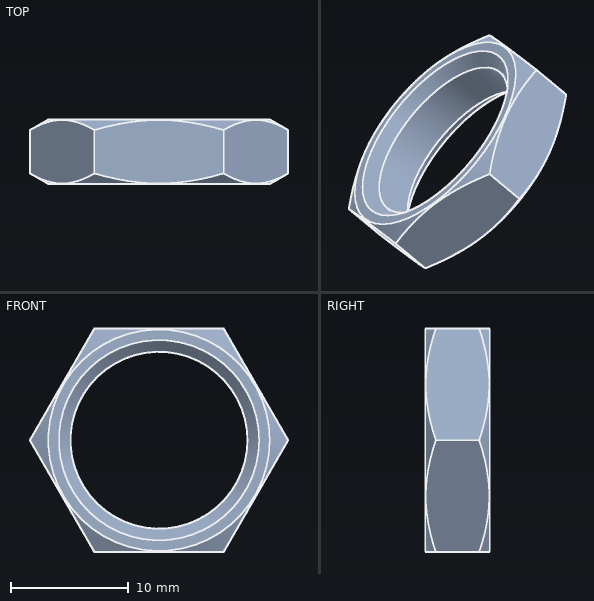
import cadquery as cq
import math

side_count = 6
across_flats = 19.0
thickness = 5.5
bore_diameter = 15.0
countersink_diameter = 17.0
countersink_angle = 45.0
face_diameter = 18.8
corner_angle = 30.0

across_corners = across_flats / math.cos(math.pi / side_count)
half_thickness = thickness / 2
corner_clearance = 1.0


def hexagon_body():
    return (
        cq.Workplane("XZ")
        .polygon(side_count, across_corners)
        .extrude(half_thickness, both=True)
    )


def revolve_about_y(profile):
    return cq.Workplane("XY").polyline(profile).close().revolve(360, (0, 0, 0), (0, 1, 0))


def corner_envelope():
    """Double cone-ended disc that trims the hexagon corners at both ends."""
    face_radius = face_diameter / 2
    rim_radius = across_corners / 2 + corner_clearance
    rim_drop = (rim_radius - face_radius) * math.tan(math.radians(corner_angle))
    rim_y = half_thickness - rim_drop
    return revolve_about_y([
        (0, -half_thickness),
        (face_radius, -half_thickness),
        (rim_radius, -rim_y),
        (rim_radius, rim_y),
        (face_radius, half_thickness),
        (0, half_thickness),
    ])


def countersunk_bore():
    """Through bore with an equal countersink at each end."""
    bore_radius = bore_diameter / 2
    mouth_radius = countersink_diameter / 2
    depth = (mouth_radius - bore_radius) / math.tan(math.radians(countersink_angle))
    bore_end = half_thickness - depth
    return revolve_about_y([
        (0, -half_thickness),
        (mouth_radius, -half_thickness),
        (bore_radius, -bore_end),
        (bore_radius, bore_end),
        (mouth_radius, half_thickness),
        (0, half_thickness),
    ])


result = hexagon_body().intersect(corner_envelope()).cut(countersunk_bore())